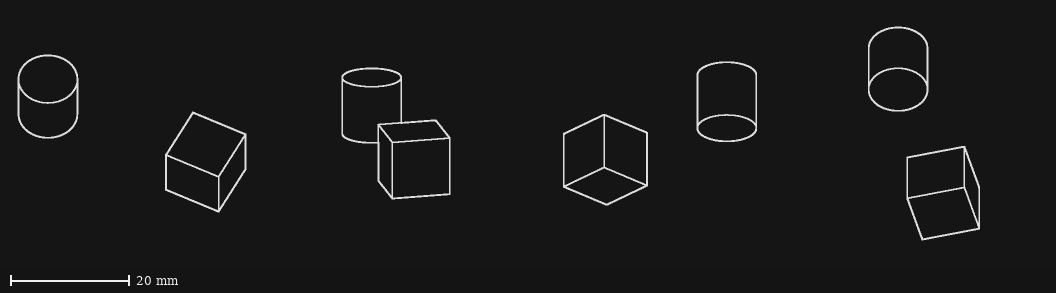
import cadquery as cq

body_size = 10.0
overall_length = 40.0

center_offset = (overall_length - body_size) / 2


def make_cylinder():
    """Upright cylinder at the -X end."""
    return cq.Workplane("XY").cylinder(body_size, body_size / 2).translate((-center_offset, 0, 0))


def make_cube():
    """Plain cube at the +X end."""
    return cq.Workplane("XY").box(body_size, body_size, body_size).translate((center_offset, 0, 0))


cylinder = make_cylinder()
cube = make_cube()

result = cq.Compound.makeCompound([cylinder.val(), cube.val()])